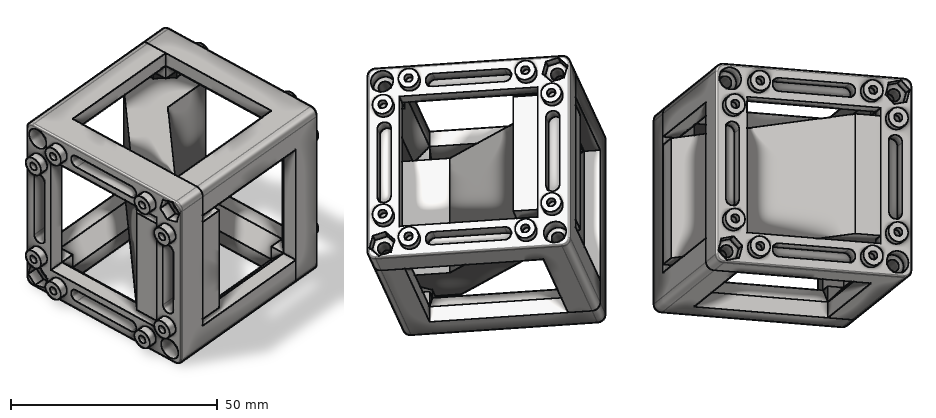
import cadquery as cq
import math

cube_width = 49.8
cube_length = 50.05
overall_length = 54.5
window_width = 34.0
window_length = 34.1
edge_radius = 2.0
face_edge_radius = 0.5
half_width = cube_width / 2
half_length = cube_length / 2
half_window = window_width / 2
half_window_length = window_length / 2
bar_width = half_width - half_window
bar_chamfer = bar_width / 2

head_diameter = 4.95
head_height = (overall_length - cube_length) / 2
head_offset = 20.7
head_spacing = 28.65
socket_diameter = 2.05
socket_depth = head_height

slot_width = 3.4
slot_length = 21.05
slot_depth = bar_chamfer

bolt_hole_diameter = 3.1
bolt_offset = 21.25
bolt_recess_diameter = 5.5
bolt_recess_depth = bar_chamfer
nut_flats = 5.5
nut_depth = 3.0
nut_turn = 15.0

insert_height = 30.0
outer_step = 10.6
inner_step = 10.95

quarter_turns = (0, 90, 180, 270)


def outer_face_plane():
    """Sketch plane parallel to the -Y face: local x is X, local y is Z, normal points outward."""
    return cq.Workplane("XZ", origin=(0, -half_length, 0))


def hexagon_diameter(flats):
    """Diameter over the corners of a hexagon with the given width across flats."""
    return flats / math.cos(math.pi / 6)


def turned_copies(feature, turns):
    """Copies of a feature turned about the Y axis."""
    return [feature.rotate((0, 0, 0), (0, 1, 0), turn) for turn in turns]


def make_cage():
    """Whole cage: a rounded block opened along all three axes, with chamfered inner bar corners."""
    cage = cq.Workplane("XY").box(cube_width, cube_length, cube_width)
    cage = cage.edges("|Y").fillet(edge_radius)
    cage = cage.faces("<Y or >Y").edges().fillet(face_edge_radius)
    opening = (window_width, window_length, window_width)
    for axis_number, axis in enumerate("XYZ"):
        window_size = list(opening)
        window_size[axis_number] = overall_length
        cavity_size = [size + 2 * bar_chamfer for size in opening]
        cavity_size[axis_number] = opening[axis_number]
        cavity = cq.Workplane("XY").box(*cavity_size).edges("|" + axis).chamfer(bar_chamfer)
        cage = cage.cut(cq.Workplane("XY").box(*window_size)).cut(cavity)
    return cage


def make_half_region():
    """Space of one cage half: the -Y frame and two opposite bars that run along Y."""
    region = cq.Workplane("XY").box(cube_width, half_length - half_window_length, cube_width)
    region = region.translate((0, -(half_length + half_window_length) / 2, 0))
    bar_offset = (half_width + half_window) / 2
    bar_y = (half_window_length - half_length) / 2
    for side in (-1, 1):
        bar = cq.Workplane("XY").box(bar_width, half_length + half_window_length, bar_width)
        region = region.union(bar.translate((side * bar_offset, bar_y, -side * bar_offset)))
    return region


def add_screw_heads(frame):
    """Two screw heads with round sockets beside each window edge."""
    points = [(-head_spacing / 2, head_offset), (head_spacing / 2, head_offset)]
    heads = outer_face_plane().pushPoints(points).circle(head_diameter / 2).extrude(head_height)
    sockets = outer_face_plane().pushPoints(points).circle(socket_diameter / 2).extrude(socket_depth)
    heads = heads.cut(sockets)
    for head_pair in turned_copies(heads, quarter_turns):
        frame = frame.union(head_pair)
    return frame


def cut_slots(frame):
    slot = outer_face_plane().center(0, head_offset).slot2D(slot_length, slot_width).extrude(-slot_depth)
    for turned_slot in turned_copies(slot, quarter_turns):
        frame = frame.cut(turned_slot)
    return frame


def cut_bolt_holes(frame):
    """Through holes in all corners, head recesses at the bars and nut pockets in the other corners."""
    for side in (-1, 1):
        recess_corner = outer_face_plane().center(side * bolt_offset, -side * bolt_offset)
        nut_corner = outer_face_plane().center(side * bolt_offset, side * bolt_offset)
        for corner in (recess_corner, nut_corner):
            frame = frame.cut(corner.circle(bolt_hole_diameter / 2).extrude(-cube_length))
        frame = frame.cut(recess_corner.circle(bolt_recess_diameter / 2).extrude(-bolt_recess_depth))
        nut = nut_corner.transformed(rotate=(0, 0, nut_turn))
        frame = frame.cut(nut.polygon(6, hexagon_diameter(nut_flats)).extrude(-nut_depth))
    return frame


def make_cage_half():
    half = make_cage().intersect(make_half_region())
    half = cut_slots(half)
    half = cut_bolt_holes(half)
    return add_screw_heads(half)


def make_insert():
    """Diagonal block whose straight ends rest against the chamfered upright bars."""
    chamfer_edge = half_window + bar_chamfer
    end_outline = [
        (-inner_step, inner_step),
        (-inner_step, half_width),
        (-half_window, half_width),
        (-half_window, chamfer_edge),
        (-chamfer_edge, half_window),
        (-half_width, half_window),
        (-half_width, outer_step),
    ]
    other_end = [(y, x) for x, y in reversed(end_outline)]
    outline = cq.Workplane("XY").polyline(end_outline + other_end).close()
    return outline.extrude(insert_height / 2, both=True)


cage_half = make_cage_half()
cage_halves = [cage_half.rotate((0, 0, 0), (0, 0, 1), turn) for turn in (0, 180)]
insert = make_insert()

result = cq.Compound.makeCompound([*[half.val() for half in cage_halves], insert.val()])